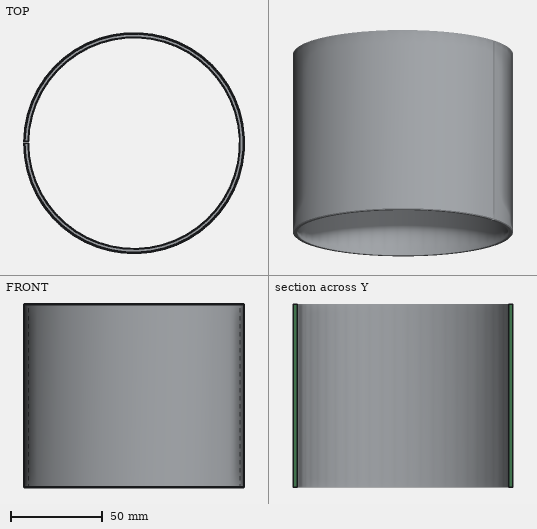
import cadquery as cq

outer_diameter = 120.0
wall_thickness = 2.5
height = 100.0
outer_chamfer = 0.5
inner_chamfer = 0.2
slit_angle = 1.0

outer_radius = outer_diameter / 2
inner_radius = outer_radius - wall_thickness


def make_wall_section():
    """Wall profile on the -X side of the XZ plane, with its two outer and two inner corners chamfered."""
    return (
        cq.Workplane("XZ")
        .moveTo(-outer_radius, outer_chamfer)
        .lineTo(-outer_radius, height - outer_chamfer)
        .lineTo(-outer_radius + outer_chamfer, height)
        .lineTo(-inner_radius - inner_chamfer, height)
        .lineTo(-inner_radius, height - inner_chamfer)
        .lineTo(-inner_radius, inner_chamfer)
        .lineTo(-inner_radius - inner_chamfer, 0)
        .lineTo(-outer_radius + outer_chamfer, 0)
        .close()
    )


result = make_wall_section().revolve(360 - slit_angle, (0, 0, 0), (0, 1, 0))